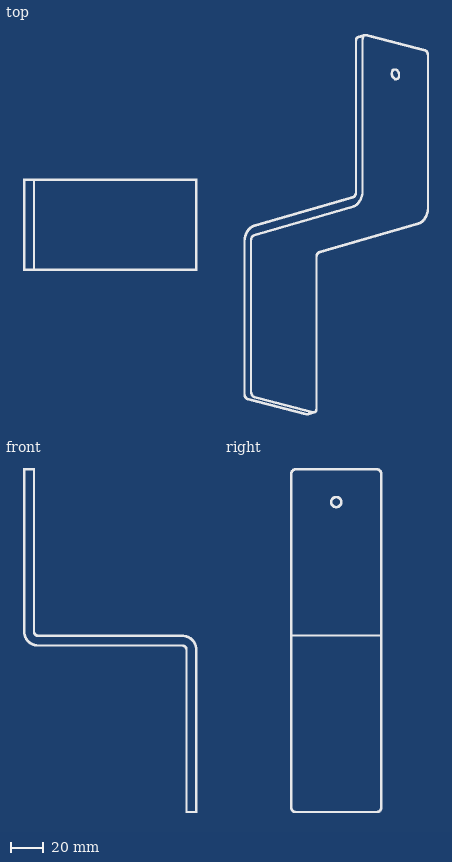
import cadquery as cq

height = 209.0
length = 105.0
width = 55.0

thickness = 6.0
inner_bend_radius = 2.5
outer_bend_radius = inner_bend_radius + thickness

corner_radius = 3.0
hole_diameter = 6.0
hole_drop = 20.0

half_height = height / 2
half_length = length / 2
half_thickness = thickness / 2


def bent_strip():
    """Upper flange on -X, level web in the middle, lower flange on +X."""
    strip = (
        cq.Workplane("XZ")
        .moveTo(-half_length, half_height)
        .lineTo(-half_length, -half_thickness)
        .lineTo(half_length - thickness, -half_thickness)
        .lineTo(half_length - thickness, -half_height)
        .lineTo(half_length, -half_height)
        .lineTo(half_length, half_thickness)
        .lineTo(-half_length + thickness, half_thickness)
        .lineTo(-half_length + thickness, half_height)
        .close()
        .extrude(width / 2, both=True)
    )
    for side in (-1, 1):
        outer_bend = (side * half_length, 0, side * half_thickness)
        inner_bend = (side * (half_length - thickness), 0, -side * half_thickness)
        strip = strip.edges(cq.NearestToPointSelector(outer_bend)).fillet(outer_bend_radius)
        strip = strip.edges(cq.NearestToPointSelector(inner_bend)).fillet(inner_bend_radius)
    return strip


def rounded_envelope():
    """Block around the whole part that rounds the corners of both free ends."""
    return cq.Workplane("XY").box(length, width, height).edges("|X").fillet(corner_radius)


def mounting_hole():
    """Cutter through the upper flange, along X."""
    return (
        cq.Workplane("YZ", origin=(-half_length, 0, half_height - hole_drop))
        .circle(hole_diameter / 2)
        .extrude(thickness)
    )


result = bent_strip().intersect(rounded_envelope()).cut(mounting_hole())